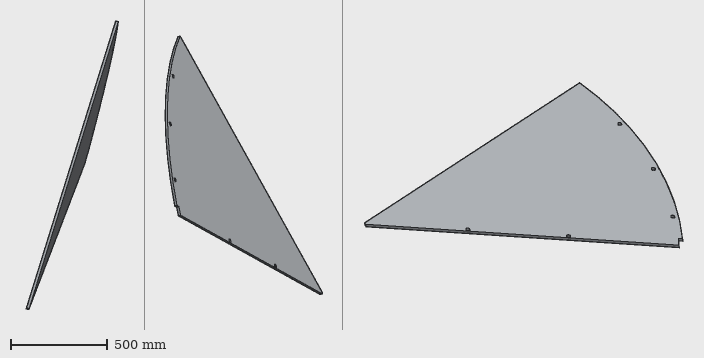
import cadquery as cq
import math

thickness_x = 16.0
far_x = 0.0
top_x = 400.0
tip_x = 410.0

arc_end_y = 1606.0
top_point = (1134.0, 1150.0)
tip_bottom = (5.0, 5.0)
tip_top = (0, 15.0)
arc_radius = 1610.0
notch_depth = 21.0
notch_height = 50.0

hole_diameter = 20.0
arc_hole_inset = 30.0
first_arc_hole_angle = 7.2
arc_hole_pitch = 12.8
arc_hole_count = 3
bottom_hole_centers = [(522.0, 16.0), (1030.0, 15.0)]

arc_start = (arc_end_y, notch_height)
notch_y = arc_end_y - notch_depth

slope_y = (tip_x - far_x) / notch_y
slope_z = (top_x - tip_x + slope_y * top_point[0]) / top_point[1]


def find_arc_center():
    """Center of the arc through its two end points, on the tip side of the chord."""
    chord_y = top_point[0] - arc_start[0]
    chord_z = top_point[1] - arc_start[1]
    chord = math.hypot(chord_y, chord_z)
    distance = math.sqrt(arc_radius**2 - (chord / 2) ** 2)
    return (
        (arc_start[0] + top_point[0]) / 2 - distance * chord_z / chord,
        (arc_start[1] + top_point[1]) / 2 + distance * chord_y / chord,
    )


arc_center = find_arc_center()


def arc_point(angle, radius):
    """(Y, Z) point at an angle in radians on a circle about the arc center."""
    return (
        arc_center[0] + radius * math.cos(angle),
        arc_center[1] + radius * math.sin(angle),
    )


def angle_to(point):
    return math.atan2(point[1] - arc_center[1], point[0] - arc_center[0])


def make_outline_prism(length):
    """Outline extruded along X from X = 0."""
    middle_angle = (angle_to(arc_start) + angle_to(top_point)) / 2
    return (
        cq.Workplane("YZ")
        .moveTo(*tip_bottom)
        .lineTo(notch_y, 0)
        .lineTo(notch_y, notch_height)
        .lineTo(*arc_start)
        .threePointArc(arc_point(middle_angle, arc_radius), top_point)
        .lineTo(*tip_top)
        .close()
        .extrude(length)
    )


def make_leaning_slab():
    """Large plate between the two leaning faces, wider than the outline."""
    slab_size = 4 * arc_end_y
    lean_plane = cq.Plane(
        origin=(tip_x, 0, 0),
        xDir=(-slope_y, 1, 0),
        normal=(1, slope_y, -slope_z),
    )
    thickness = thickness_x / math.sqrt(1 + slope_y**2 + slope_z**2)
    return cq.Workplane(lean_plane).rect(slab_size, slab_size).extrude(thickness)


def make_holes(length):
    """Hole cylinders along X, a row beside the arc and a row along the bottom."""
    hole_arc_radius = arc_radius - arc_hole_inset
    angles = [first_arc_hole_angle + index * arc_hole_pitch for index in range(arc_hole_count)]
    centers = [arc_point(math.radians(angle), hole_arc_radius) for angle in angles]
    centers += bottom_hole_centers
    return cq.Workplane("YZ").pushPoints(centers).circle(hole_diameter / 2).extrude(length)


cut_length = tip_x + 2 * thickness_x
panel = make_outline_prism(cut_length).intersect(make_leaning_slab())
result = panel.cut(make_holes(cut_length))